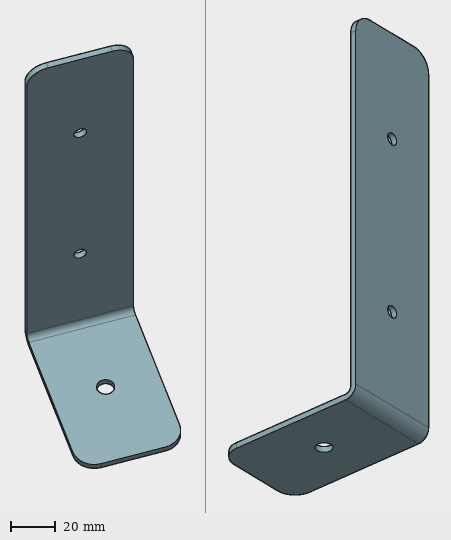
import cadquery as cq

base_length = 80.0
width = 50.0
height = 200.0

thickness = 3.0
inner_bend_radius = 3.0
outer_bend_radius = inner_bend_radius + thickness
corner_radius = 10.0

wall_hole_diameter = 6.0
wall_hole_spacing = 90.0
base_hole_diameter = 8.0


def bent_sheet():
    """L-shaped strip, centred on Y, with its outer faces on X = 0 and Z = 0."""
    strip = (
        cq.Workplane("XZ")
        .polyline([
            (0, 0),
            (base_length, 0),
            (base_length, thickness),
            (thickness, thickness),
            (thickness, height),
            (0, height),
        ])
        .close()
        .extrude(width / 2, both=True)
    )
    outer_corner = cq.selectors.NearestToPointSelector((0, 0, 0))
    strip = strip.edges("|Y").edges(outer_corner).fillet(outer_bend_radius)
    inner_corner = cq.selectors.NearestToPointSelector((thickness, 0, thickness))
    return strip.edges("|Y").edges(inner_corner).fillet(inner_bend_radius)


def round_free_corners(strip):
    """Round the two corners at the free end of each leg."""
    strip = strip.faces(">Z").edges("|X").fillet(corner_radius)
    return strip.faces(">X").edges("|Z").fillet(corner_radius)


def wall_holes():
    """Cutters for the two holes placed evenly about mid-height of the wall."""
    return (
        cq.Workplane("YZ")
        .center(0, height / 2)
        .rarray(2, wall_hole_spacing, 1, 2)
        .circle(wall_hole_diameter / 2)
        .extrude(thickness)
    )


def base_hole():
    """Cutter for the hole in the middle of the base."""
    return (
        cq.Workplane("XY")
        .center(base_length / 2, 0)
        .circle(base_hole_diameter / 2)
        .extrude(thickness)
    )


result = round_free_corners(bent_sheet()).cut(wall_holes()).cut(base_hole())